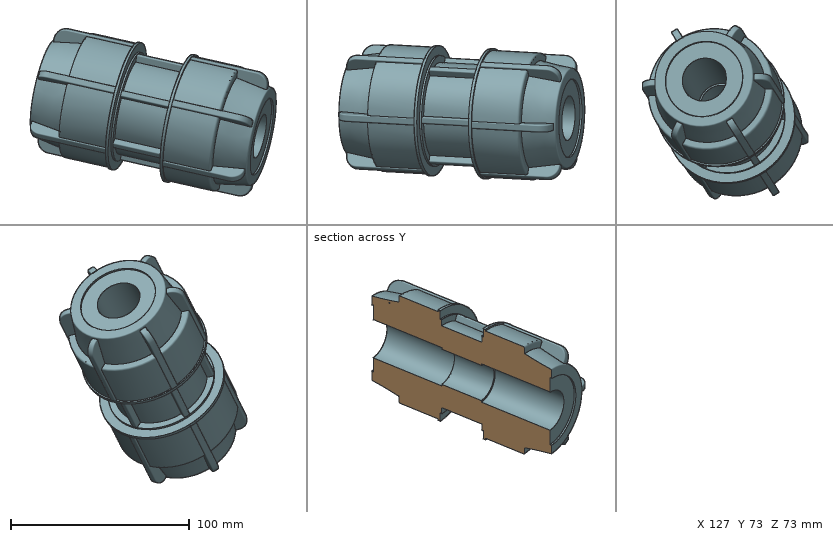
import cadquery as cq

half_length = 127.0 / 2
rib_count = 6

lip_radius = 28.0
lip_fillet = 0.8
cone_end = 19.0
cone_end_radius = 31.2
nut_radius = 35.5
nut_fillet = 1.1
flange_start = 46.7
flange_end = 48.4
flange_radius = 73.0 / 2

collar_end = 49.5
collar_radius = 31.1
body_radius = 27.2

nut_rib_start = 1.1
nut_rib_width = 4.0
nut_rib_corner = 7.0
nut_rib_fillet = 0.6

body_rib_width = 3.5
body_rib_fillet = 0.6

rib_root_radius = 25.4

bore_radius = 23.0 / 2
socket_radius = 25.0 / 2
socket_depth = collar_end
recess_radius = 44.0 / 2
recess_depth = 1.1


def round_half():
    """Solid of revolution from the end face at X = 0 to the middle plane."""
    half = (
        cq.Workplane("XY")
        .lineTo(0, lip_radius)
        .lineTo(cone_end, cone_end_radius)
        .lineTo(cone_end, nut_radius - nut_fillet)
        .radiusArc((cone_end + nut_fillet, nut_radius), nut_fillet)
        .lineTo(flange_start, nut_radius)
        .lineTo(flange_start, flange_radius)
        .lineTo(flange_end, flange_radius)
        .lineTo(flange_end, collar_radius)
        .lineTo(collar_end, collar_radius)
        .lineTo(collar_end, body_radius)
        .lineTo(half_length, body_radius)
        .lineTo(half_length, 0)
        .close()
        .revolve(360, (0, 0, 0), (1, 0, 0))
    )
    return half.faces("<X").edges().fillet(lip_fillet)


def nut_rib():
    """Rib toward +Y over the nut, with a round corner and rounded outer edges."""
    corner_base = flange_radius - nut_rib_corner
    return (
        cq.Workplane("XY")
        .moveTo(nut_rib_start, rib_root_radius)
        .lineTo(nut_rib_start, corner_base)
        .radiusArc((nut_rib_start + nut_rib_corner, flange_radius), nut_rib_corner)
        .lineTo(flange_start, flange_radius)
        .lineTo(flange_start, rib_root_radius)
        .close()
        .extrude(nut_rib_width / 2, both=True)
        .edges("%CIRCLE or (|X and >Y)")
        .fillet(nut_rib_fillet)
    )


def body_rib():
    """Rib toward +Y from the collar to the middle plane, with rounded outer edges."""
    return (
        cq.Workplane("XY")
        .moveTo(collar_end, rib_root_radius)
        .lineTo(collar_end, collar_radius)
        .lineTo(half_length, collar_radius)
        .lineTo(half_length, rib_root_radius)
        .close()
        .extrude(body_rib_width / 2, both=True)
        .edges("|X and >Y")
        .fillet(body_rib_fillet)
    )


def inner_cavity():
    """Bore, socket and recess of one half as a single stepped cutter."""
    return (
        cq.Workplane("YZ")
        .circle(bore_radius)
        .extrude(half_length)
        .union(cq.Workplane("YZ").circle(socket_radius).extrude(socket_depth))
        .union(cq.Workplane("YZ").circle(recess_radius).extrude(recess_depth))
    )


half_coupling = round_half()
for index in range(rib_count):
    angle = index * 360 / rib_count
    for rib in (nut_rib(), body_rib()):
        half_coupling = half_coupling.union(rib.rotate((0, 0, 0), (1, 0, 0), angle))
half_coupling = half_coupling.cut(inner_cavity())

other_half = half_coupling.mirror("YZ", (half_length, 0, 0))
result = half_coupling.union(other_half)